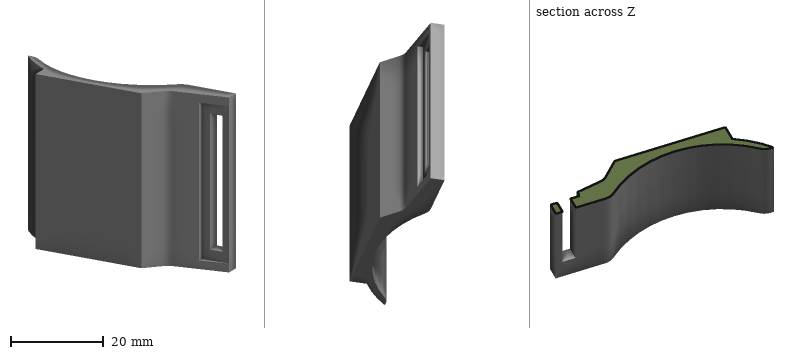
import cadquery as cq
import math

length = 51.2
depth = 9.8
height = 40.0

cradle_x = 20.15
cradle_radius = 26.1
cradle_floor = 2.55
rim_fillet = 3.6

pad_start = 7.25
pad_end = 33.3
step_height = 3.85
lip_radius = 26.1

ramp_angle = 45.0
wing_angle = 10.0
wing_tip_thickness = 3.05
wing_fillet = 2.8

recess_start = 44.45
recess_margin = 2.0
slot_start = 46.55
slot_width = 3.0
slot_margin = 4.45

wing_tip_y = depth - wing_tip_thickness


def make_body():
    """Extrude the lip, pad, wing and cradle outline along Z, then round its bends."""
    rim_drop = cradle_floor + cradle_radius - depth
    rim_half_width = math.sqrt(cradle_radius**2 - rim_drop**2)
    rim_left = (cradle_x - rim_half_width, depth)
    rim_right = (cradle_x + rim_half_width, depth)

    ramp_slope = math.tan(math.radians(ramp_angle))
    wing_slope = math.tan(math.radians(wing_angle))
    bend_x = (wing_tip_y - wing_slope * length + ramp_slope * pad_end) / (ramp_slope - wing_slope)
    bend = (bend_x, ramp_slope * (bend_x - pad_end))

    body = (
        cq.Workplane("XY")
        .moveTo(0, depth)
        .radiusArc((pad_start, step_height), -lip_radius)
        .lineTo(pad_start, 0)
        .lineTo(pad_end, 0)
        .lineTo(*bend)
        .lineTo(length, wing_tip_y)
        .lineTo(length, depth)
        .lineTo(*rim_right)
        .threePointArc((cradle_x, cradle_floor), rim_left)
        .close()
        .extrude(height)
    )
    for corner, radius in ((rim_left, rim_fillet), (rim_right, rim_fillet), (bend, wing_fillet)):
        edge = cq.selectors.NearestToPointSelector((*corner, height / 2))
        body = body.edges(edge).fillet(radius)
    return body


def make_pocket(x_start, x_end, y_end, margin):
    """Box cutter from the pad plane back to y_end, with equal margins at both Z ends."""
    pocket_height = height - 2 * margin
    pocket = cq.Workplane("XY").box(x_end - x_start, y_end, pocket_height, centered=False)
    return pocket.translate((x_start, 0, margin))


recess = make_pocket(recess_start, length, wing_tip_y, recess_margin)
slot = make_pocket(slot_start, slot_start + slot_width, depth, slot_margin)

result = make_body().cut(recess).cut(slot)